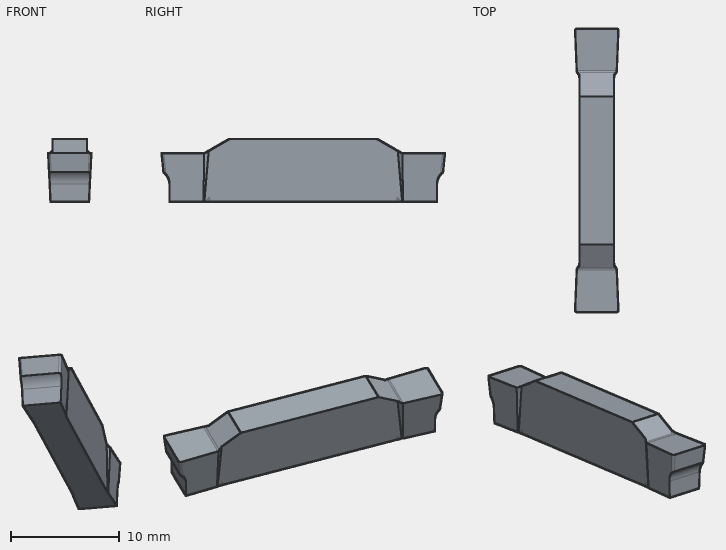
import cadquery as cq
import math

length = 26.13
height = 5.8
body_width = 3.21
head_width = 4.02

land_height = 4.5
ramp_angle = 30.0
body_top_length = 13.65
ramp_radius = 0.37
edge_y = length / 2
relief_bottom = 2.75
relief_setback = 0.18
heel_y = 12.33
heel_height = 1.65
overshoot = 0.52

corner_radius = 0.2
side_angle = 2.5
back_angle = 2.3
neck_top_y = 9.12
neck_bottom_y = 9.2
neck_slope = 1.6

gusset_outer_y = 9.1
gusset_inner_y = 8.55
gusset_peak_y = 8.65
gusset_height = 0.42
gusset_foot_y = 8.75
gusset_depth = 0.03


def make_side_blank():
    """Side outline with ramps and front hollows, as wide as the heads."""
    body_top_y = body_top_length / 2
    ramp_foot_y = body_top_y + (height - land_height) / math.tan(math.radians(ramp_angle))
    hollow_start_y = edge_y - relief_setback
    run = hollow_start_y - heel_y
    rise = relief_bottom - heel_height
    radius = (run**2 + rise**2) / (2 * run)
    half_sweep = math.asin(rise / radius) / 2
    hollow_middle = (
        heel_y + radius * (1 - math.cos(half_sweep)),
        heel_height + radius * math.sin(half_sweep),
    )
    half = (
        cq.Workplane("YZ")
        .moveTo(0, 0)
        .lineTo(heel_y, 0)
        .lineTo(heel_y, heel_height)
        .threePointArc(hollow_middle, (hollow_start_y, relief_bottom))
        .lineTo(edge_y + overshoot, relief_bottom)
        .lineTo(edge_y + overshoot, land_height)
        .lineTo(ramp_foot_y, land_height)
        .lineTo(body_top_y, height)
        .lineTo(0, height)
        .close()
        .extrude(head_width, both=True)
    )
    ramp_foot = cq.selectors.NearestToPointSelector((0, ramp_foot_y, land_height))
    half = half.edges("|X").edges(ramp_foot).fillet(ramp_radius)
    return half.union(half.mirror("XZ"))


def head_outline(z):
    """Corners of the head in plan at height z."""
    drop = land_height - z
    tip_y = edge_y - drop * relief_setback / (land_height - relief_bottom)
    flank_end_y = neck_top_y + drop * (neck_bottom_y - neck_top_y) / land_height

    def flank_x(y):
        lean = drop * math.tan(math.radians(side_angle))
        narrowing = (edge_y - y) * math.tan(math.radians(back_angle))
        return head_width / 2 - lean - narrowing

    end_x = flank_x(flank_end_y)
    tip_x = flank_x(tip_y)
    neck_x = body_width / 2
    neck_y = flank_end_y - neck_slope * (end_x - neck_x)
    right = [(neck_x, neck_y), (end_x, flank_end_y), (tip_x, tip_y)]
    left = [(-x, y) for x, y in reversed(right)]
    return right + left


def make_head():
    """Tapered head with rounded front corners, at the +Y end."""
    head = (
        cq.Workplane("XY")
        .polyline(head_outline(0)).close()
        .workplane(offset=height)
        .polyline(head_outline(height)).close()
        .loft(ruled=True)
    )
    front_edges = head.faces(">Y").edges("not |X")
    return front_edges.fillet(corner_radius)


def make_gusset(side):
    """Small three-sided wedge beside the neck; side is +1 or -1 in X."""
    points = [(gusset_inner_y, 0), (gusset_outer_y, 0), (gusset_peak_y, gusset_height)]
    wall_x = side * body_width / 2
    base = [cq.Vector(wall_x, y, z) for y, z in points]
    apex = cq.Vector(wall_x + side * gusset_depth, gusset_foot_y, 0)
    corners = base + [apex]
    faces = []
    for skipped in range(len(corners)):
        triangle = [p for i, p in enumerate(corners) if i != skipped]
        faces.append(cq.Face.makeFromWires(cq.Wire.makePolygon(triangle, close=True)))
    return cq.Workplane(cq.Solid.makeSolid(cq.Shell.makeShell(faces)))


head = make_head()
body = cq.Workplane("XY").box(body_width, 2 * neck_bottom_y, height, centered=(True, True, False))
plan_blank = body.union(head).union(head.mirror("XZ"))
result = plan_blank.intersect(make_side_blank())
for side in (1, -1):
    gusset = make_gusset(side)
    result = result.union(gusset).union(gusset.mirror("XZ"))